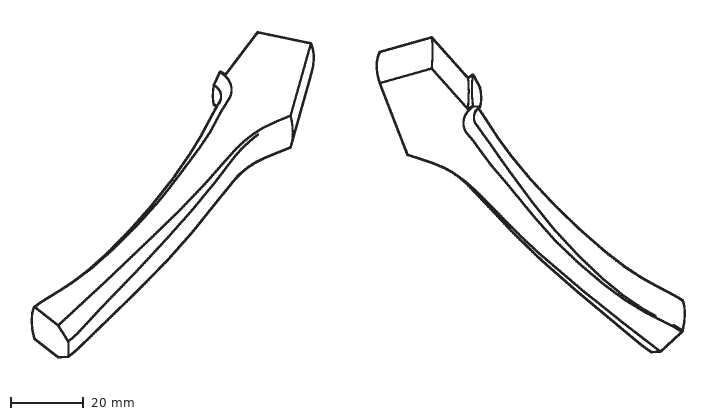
import cadquery as cq
import math


OVERSHOOT = 1.0

HEAD_HALF_HEIGHT = 7.2
HEAD_TRIM = 0.02
HEAD_BARREL = 0.7
HEAD_LEFT_TOP = (0.0, 116.5)
HEAD_APEX = (15.4, 122.1)
HEAD_RIGHT_TIP = (25.53, 97.3)
HEAD_LEFT_BOTTOM = (1.4, 96.0)
HEAD_FLOOR_Y = 88.0

JOINT_Y = 91.0
SPUR_LEFT_X = 0.1
SPUR_TOP_Y = 98.9
SPUR_BARREL = 0.5
SHOULDER_RADIUS = 4.75
SHOULDER_BARREL = 0.5
SHOULDER_WALL_Z = 4.4
SHOULDER_SLOPE = 1.05

JOINT_HALF_HEIGHT = 7.0
HEAD_LEVEL_Y = 99.3
NECK_Y = 78.0
NECK_HALF_HEIGHT = 6.22
WAIST_Y = 51.0
WAIST_HALF_HEIGHT = 7.12
SWELL_Y = 28.0
SWELL_HALF_HEIGHT = 7.495
BUTT_LEFT = (3.8, 2.47)
BUTT_TILT = -9.9
BUTT_HALF_HEIGHT = 7.1


def head_outline():
    """Plan wire of the head at mid height, running on past the right tip and the spur."""
    run_x = HEAD_RIGHT_TIP[0] - HEAD_APEX[0]
    run_y = HEAD_RIGHT_TIP[1] - HEAD_APEX[1]
    right_floor_x = HEAD_APEX[0] + run_x * (HEAD_FLOOR_Y - HEAD_APEX[1]) / run_y
    return (
        cq.Workplane("XY")
        .polyline([
            HEAD_LEFT_TOP,
            HEAD_APEX,
            (right_floor_x, HEAD_FLOOR_Y),
            (HEAD_LEFT_BOTTOM[0], HEAD_FLOOR_Y),
            HEAD_LEFT_BOTTOM,
        ])
        .close()
        .val()
    )


def box_between(corner, opposite):
    """Box with the given plan corners, taller than the part."""
    height = 2 * (HEAD_HALF_HEIGHT + 2 * OVERSHOOT)
    middle_x = (corner[0] + opposite[0]) / 2
    middle_y = (corner[1] + opposite[1]) / 2
    width = abs(opposite[0] - corner[0])
    length = abs(opposite[1] - corner[1])
    return cq.Workplane("XY", origin=(middle_x, middle_y, 0)).box(width, length, height)


def head_block():
    """Head with barrelled walls, stopping at the right tip and at the joint plane."""
    middle = head_outline()
    inset = middle.offset2D(-HEAD_BARREL, "intersection")[0]
    lower = inset.translate(cq.Vector(0, 0, -HEAD_HALF_HEIGHT))
    upper = inset.translate(cq.Vector(0, 0, HEAD_HALF_HEIGHT))
    block = cq.Workplane(cq.Solid.makeLoft([lower, middle, upper]))
    far_x = 2 * HEAD_RIGHT_TIP[0]
    low_y = HEAD_FLOOR_Y - OVERSHOOT
    below_joint = box_between((-OVERSHOOT, low_y), (far_x, JOINT_Y))
    below_tip = box_between((HEAD_APEX[0], low_y), (far_x, HEAD_RIGHT_TIP[1]))
    return block.cut(below_joint).cut(below_tip)


def spur_block():
    """Block whose upper end bulges in Y; the shoulder cut leaves the spur of it."""
    return (
        cq.Workplane("YZ", origin=(SPUR_LEFT_X, 0, 0))
        .moveTo(JOINT_Y, -HEAD_HALF_HEIGHT)
        .lineTo(SPUR_TOP_Y, -HEAD_HALF_HEIGHT)
        .threePointArc((SPUR_TOP_Y + SPUR_BARREL, 0), (SPUR_TOP_Y, HEAD_HALF_HEIGHT))
        .lineTo(JOINT_Y, HEAD_HALF_HEIGHT)
        .close()
        .extrude(SHOULDER_RADIUS)
    )


def shoulder_radius_at(z):
    """Radius of the conical shoulder chamfer at height z."""
    return SHOULDER_RADIUS + SHOULDER_SLOPE * (z - SHOULDER_WALL_Z)


def shoulder_cutter():
    """Waisted round cutter that opens as a cone above and below."""
    end_z = HEAD_HALF_HEIGHT + OVERSHOOT
    end_radius = shoulder_radius_at(end_z)
    return (
        cq.Workplane("XZ", origin=(SPUR_LEFT_X, JOINT_Y, 0))
        .moveTo(0, -end_z)
        .lineTo(end_radius, -end_z)
        .lineTo(SHOULDER_RADIUS, -SHOULDER_WALL_Z)
        .threePointArc((SHOULDER_RADIUS - SHOULDER_BARREL, 0), (SHOULDER_RADIUS, SHOULDER_WALL_Z))
        .lineTo(end_radius, end_z)
        .lineTo(0, end_z)
        .close()
        .revolve(360, (0, 0, 0), (0, 1, 0))
    )


def grip_section(y, top_z, left_wall, left_top, right_top, right_wall, tilt=0.0):
    """Eight-sided cross-section: flat top and bottom, barrelled walls, chamfers between.

    Each wall is (x at mid height, inward drop of its rims, rim height). left_top and
    right_top bound the flat top at height top_z; the chamfers run on above it by the
    overshoot. tilt turns the section about the left wall, in degrees.
    """
    slope = math.tan(math.radians(tilt))
    left, left_barrel, left_z = left_wall
    right, right_barrel, right_z = right_wall
    left_rim = left + left_barrel
    right_rim = right - right_barrel
    tall_left = left_top + OVERSHOOT * (left_top - left_rim) / (top_z - left_z)
    tall_right = right_top + OVERSHOOT * (right_top - right_rim) / (top_z - right_z)
    tall_z = top_z + OVERSHOOT

    def point(x, z):
        return cq.Vector(x, y + slope * (x - left), z)

    upper = [(left_rim, left_z), (tall_left, tall_z), (tall_right, tall_z), (right_rim, right_z)]
    upper_points = [point(x, z) for x, z in upper]
    lower_points = [point(x, -z) for x, z in reversed(upper)]
    edges = [cq.Edge.makeLine(a, b) for a, b in zip(upper_points, upper_points[1:])]
    edges.append(cq.Edge.makeThreePointArc(upper_points[-1], point(right, 0), lower_points[0]))
    edges += [cq.Edge.makeLine(a, b) for a, b in zip(lower_points, lower_points[1:])]
    edges.append(cq.Edge.makeThreePointArc(lower_points[-1], point(left, 0), upper_points[0]))
    return cq.Wire.assembleEdges(edges)


def grip():
    """Bowed grip, lofted from the right tip of the head to the slanted butt end."""
    tip_x, tip_y = HEAD_RIGHT_TIP
    tip_rim_z = 6.8
    right_wall_angle = math.atan2(HEAD_RIGHT_TIP[0] - HEAD_APEX[0], HEAD_APEX[1] - HEAD_RIGHT_TIP[1])
    tip_inset = HEAD_BARREL / math.cos(right_wall_angle)
    tip_wall = (tip_x, tip_inset * (tip_rim_z / HEAD_HALF_HEIGHT) ** 2, tip_rim_z)
    shoulder_wall = (SPUR_LEFT_X + SHOULDER_RADIUS - SHOULDER_BARREL, SHOULDER_BARREL, SHOULDER_WALL_Z)
    shoulder_top = SPUR_LEFT_X + shoulder_radius_at(JOINT_HALF_HEIGHT)
    butt_x, butt_y = BUTT_LEFT
    sections = [
        grip_section(tip_y, HEAD_HALF_HEIGHT, (4.2, 0.3, 5.0), 7.2, tip_x - tip_inset, tip_wall),
        grip_section(JOINT_Y, JOINT_HALF_HEIGHT, shoulder_wall, shoulder_top, 21.5, (22.3, 0.55, 6.3)),
        grip_section(86.0, 6.65, (5.5, 0.3, 4.2), 8.4, 19.7, (20.5, 0.3, 5.7)),
        grip_section(80.0, 6.25, (6.7, 0.3, 4.0), 9.5, 18.75, (19.75, 0.3, 5.3)),
        grip_section(70.0, 6.4, (8.3, 0.3, 4.2), 10.7, 18.4, (20.1, 0.3, 4.9)),
        grip_section(WAIST_Y, WAIST_HALF_HEIGHT, (10.15, 0.4, 5.7), 12.0, 18.4, (20.7, 0.3, 5.1)),
        grip_section(36.0, 7.45, (10.15, 0.6, 6.5), 11.7, 17.4, (20.35, 0.3, 4.8)),
        grip_section(20.0, 7.45, (8.6, 0.8, 6.95), 9.85, 16.0, (19.45, 0.3, 4.3), tilt=-3.0),
        grip_section(9.5, 7.3, (5.9, 0.9, 6.95), 7.0, 14.75, (18.8, 0.3, 3.8), tilt=-7.0),
        grip_section(butt_y, BUTT_HALF_HEIGHT, (butt_x, 0.9, 6.9), 4.9, 14.0, (17.95, 0.2, 3.5), BUTT_TILT),
    ]
    return cq.Workplane(cq.Solid.makeLoft(sections))


def side_envelope():
    """Side silhouette of the whole part, extruded across its full width."""
    start_y = -OVERSHOOT
    end_y = HEAD_APEX[1] + OVERSHOOT
    head_z = HEAD_HALF_HEIGHT - HEAD_TRIM
    top = [
        (start_y, BUTT_HALF_HEIGHT),
        (SWELL_Y, SWELL_HALF_HEIGHT),
        (WAIST_Y, WAIST_HALF_HEIGHT),
        (NECK_Y, NECK_HALF_HEIGHT),
        (JOINT_Y, JOINT_HALF_HEIGHT),
        (HEAD_LEVEL_Y, head_z),
        (end_y, head_z),
    ]
    bottom = [(y, -z) for y, z in reversed(top)]
    return (
        cq.Workplane("YZ", origin=(-OVERSHOOT, 0, 0))
        .moveTo(*top[0])
        .spline(top[1:], includeCurrent=True)
        .lineTo(*bottom[0])
        .spline(bottom[1:], includeCurrent=True)
        .close()
        .extrude(HEAD_RIGHT_TIP[0] + 2 * OVERSHOOT)
    )


head = head_block().union(spur_block()).cut(shoulder_cutter())
result = head.union(grip()).intersect(side_envelope())